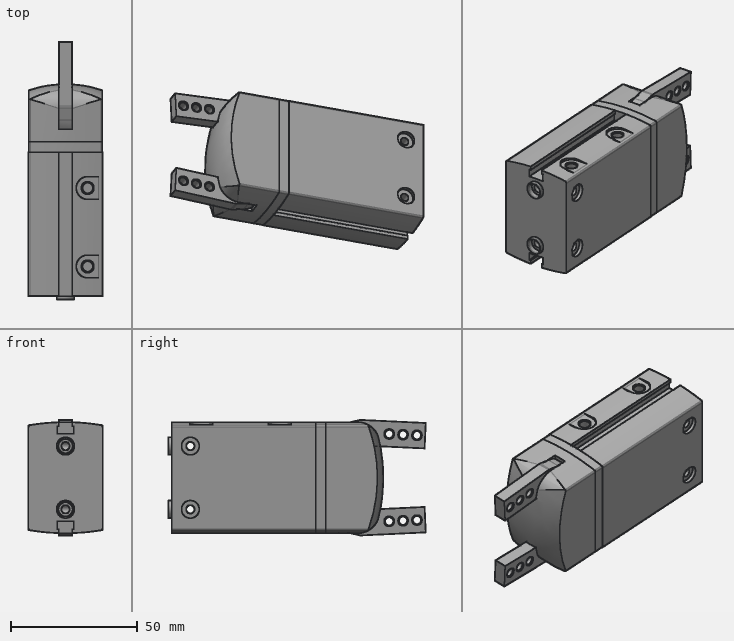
import cadquery as cq
import math


housing_width = 29.5
housing_height = 44.0
housing_length = 56.9
face_radius = 85.0
corner_fillet = 0.7

slot_mouth_width = 5.3
slot_inner_width = 6.6
slot_lip_z = 20.4
slot_floor_z = 17.3

mount_z = 12.5
sleeve_diameter = 7.0
sleeve_length = 1.4
sleeve_bore = 5.6
sleeve_lip_radius = 0.33
sleeve_bore_depth = 2.4
rear_thread_bore = 3.24
cross_hole_y = 7.4
cross_hole_diameter = 3.2
cross_recess_diameter = 7.0
cross_recess_depth = 1.6

port_x = 8.75
port_ys = (11.7, 42.7)
port_bore = 4.13
port_countersink = 5.0
port_depth = 8.0
pad_radius = 4.5
pad_z = 21.0

head_inset = 0.2
head_width = housing_width - 2 * head_inset
head_height = housing_height
plate_length = 4.0
head_base_y = housing_length + plate_length
head_apex_y = 83.8
crown_radius_across = 44.0
crown_radius_upright = 64.0
shoulder_radius = 8.8

finger_width = slot_mouth_width
finger_tip_y = 100.48
finger_tip_z = 21.66
finger_height = 10.15
finger_tilt = 2.7
crest_distance = 25.4
crest_length = 0.6
ramp_angle = 13.0
ramp_end_y = 69.7
heel_radius = 14.0
finger_rear_y = 66.0
finger_hole_bore = 3.24
finger_hole_countersink = 4.0
finger_hole_first = 3.3
finger_hole_pitch = 5.5
finger_hole_count = 3


def bulged_prism(width, height, start_y, length):
    """Rounded-corner prism along +Y with bulged upper and lower faces."""
    half_width = width / 2
    crest_z = height / 2
    sagitta = face_radius - math.sqrt(face_radius**2 - half_width**2)
    edge_z = crest_z - sagitta
    prism = (
        cq.Workplane("XZ", origin=(0, start_y, 0))
        .moveTo(-half_width, -edge_z)
        .lineTo(-half_width, edge_z)
        .threePointArc((0, crest_z), (half_width, edge_z))
        .lineTo(half_width, -edge_z)
        .threePointArc((0, -crest_z), (-half_width, -edge_z))
        .close()
        .extrude(-length)
    )
    return prism.edges("|Y").fillet(corner_fillet)


def cylinder(start, direction, diameter, length):
    """Solid cylinder from a start point along a direction."""
    return cq.Workplane(
        cq.Solid.makeCylinder(diameter / 2, length, cq.Vector(*start), cq.Vector(*direction))
    )


def countersink(start, direction, outer_diameter, inner_diameter):
    """45 degree cone that narrows from the outer to the inner diameter."""
    depth = (outer_diameter - inner_diameter) / 2
    return cq.Workplane(
        cq.Solid.makeCone(
            outer_diameter / 2, inner_diameter / 2, depth, cq.Vector(*start), cq.Vector(*direction)
        )
    )



def t_slot(side):
    """T-slot cutter over the full housing length; side is +1 for upper, -1 for lower."""
    lip_height = housing_height / 2 - slot_lip_z
    inner_height = slot_lip_z - slot_floor_z
    mouth = cq.Workplane("XY").box(
        slot_mouth_width, housing_length, 2 * lip_height, centered=(True, False, True)
    ).translate((0, 0, side * housing_height / 2))
    inner = cq.Workplane("XY").box(
        slot_inner_width, housing_length, inner_height, centered=(True, False, True)
    ).translate((0, 0, side * (slot_lip_z + slot_floor_z) / 2))
    return mouth.union(inner)


def port_cutter(port_y):
    """Flat U-shaped pad open towards +X, with a countersunk blind port."""
    pad_reach = housing_width / 2 - port_x
    pad_height = housing_height / 2 - pad_z
    pad = (
        cq.Workplane("XY", origin=(port_x, port_y, pad_z))
        .moveTo(pad_reach, pad_radius)
        .lineTo(0, pad_radius)
        .threePointArc((-pad_radius, 0), (0, -pad_radius))
        .lineTo(pad_reach, -pad_radius)
        .close()
        .extrude(pad_height)
    )
    centre = (port_x, port_y, pad_z)
    bore = cylinder(centre, (0, 0, -1), port_bore, port_depth)
    return pad.union(bore).union(countersink(centre, (0, 0, -1), port_countersink, port_bore))


def build_housing():
    body = bulged_prism(housing_width, housing_height, 0, housing_length)
    for side in (1, -1):
        mount_height = side * mount_z
        sleeve_end = (0, -sleeve_length, mount_height)
        sleeve = cylinder((0, 0, mount_height), (0, -1, 0), sleeve_diameter, sleeve_length)
        sleeve = sleeve.cut(cylinder(sleeve_end, (0, 1, 0), sleeve_bore, sleeve_length))
        body = body.union(sleeve.faces("<Y").edges().fillet(sleeve_lip_radius))
        body = body.cut(cylinder(sleeve_end, (0, 1, 0), sleeve_bore, sleeve_bore_depth))
        body = body.cut(
            cylinder(sleeve_end, (0, 1, 0), rear_thread_bore, sleeve_length + cross_hole_y)
        )

        side_point = (-housing_width / 2, cross_hole_y, mount_height)
        body = body.cut(cylinder(side_point, (1, 0, 0), cross_hole_diameter, housing_width))
        for side_x in (-1, 1):
            recess_start = (side_x * housing_width / 2, cross_hole_y, mount_height)
            body = body.cut(
                cylinder(recess_start, (-side_x, 0, 0), cross_recess_diameter, cross_recess_depth)
            )
        body = body.cut(t_slot(side))
    for port_y in port_ys:
        body = body.cut(port_cutter(port_y))
    return body



tilt = math.radians(finger_tilt)


def finger_point(distance, depth):
    """(y, z) at a distance behind the tip and a depth below the outer edge of the upper finger."""
    y = finger_tip_y - distance * math.cos(tilt) - depth * math.sin(tilt)
    z = finger_tip_z + distance * math.sin(tilt) - depth * math.cos(tilt)
    return y, z


def finger_inner_edge():
    """Tip and rear end of the inner edge, each as (y, z); it also lies on the floor of the head slot."""
    tip_y, tip_z = finger_point(0, finger_height)
    rear_z = tip_z + (tip_y - finger_rear_y) * math.tan(tilt)
    return (tip_y, tip_z), (finger_rear_y, rear_z)


def build_upper_finger():
    crest_y, crest_z = finger_point(crest_distance, 0)
    ramp_start_y = crest_y - crest_length
    ramp = math.radians(ramp_angle)
    ramp_end_z = crest_z - (ramp_start_y - ramp_end_y) * math.tan(ramp)

    heel_y = ramp_end_y + heel_radius * math.sin(ramp)
    heel_z = ramp_end_z - heel_radius * math.cos(ramp)
    heel_end = math.asin((heel_y - finger_rear_y) / heel_radius)
    heel_middle = (ramp + heel_end) / 2

    def heel_point(angle):
        return heel_y - heel_radius * math.sin(angle), heel_z + heel_radius * math.cos(angle)

    inner_tip, inner_rear = finger_inner_edge()
    finger = (
        cq.Workplane("YZ")
        .moveTo(*inner_tip)
        .lineTo(finger_tip_y, finger_tip_z)
        .lineTo(crest_y, crest_z)
        .lineTo(ramp_start_y, crest_z)
        .lineTo(ramp_end_y, ramp_end_z)
        .threePointArc(heel_point(heel_middle), heel_point(heel_end))
        .lineTo(*inner_rear)
        .close()
        .extrude(finger_width / 2, both=True)
    )
    for index in range(finger_hole_count):
        hole = finger_point(finger_hole_first + index * finger_hole_pitch, finger_height / 2)
        finger = finger.cut(
            cylinder((-finger_width / 2, *hole), (1, 0, 0), finger_hole_bore, finger_width)
        )
        for side_x in (-1, 1):
            rim = (side_x * finger_width / 2, *hole)
            finger = finger.cut(
                countersink(rim, (-side_x, 0, 0), finger_hole_countersink, finger_hole_bore)
            )
    return finger



def crown():
    """Solid of revolution whose front is curved both along X and along Z."""
    half_height = head_height / 2
    drop = crown_radius_upright - math.sqrt(crown_radius_upright**2 - half_height**2)
    rim = crown_radius_across - drop
    return (
        cq.Workplane("YZ", origin=(0, head_apex_y - crown_radius_across, 0))
        .moveTo(0, -half_height)
        .lineTo(rim, -half_height)
        .threePointArc((crown_radius_across, 0), (rim, half_height))
        .lineTo(0, half_height)
        .close()
        .revolve(360, (0, 0, 0), (0, 1, 0))
    )


def shoulder_prism():
    """Prism along X whose rounded shoulders run tangentially into the crown on the middle plane."""
    half_height = head_height / 2
    centre_z = half_height - shoulder_radius
    crown_centre_y = head_apex_y - crown_radius_upright
    centre_y = crown_centre_y + math.sqrt((crown_radius_upright - shoulder_radius)**2 - centre_z**2)
    end_angle = math.atan2(centre_z, centre_y - crown_centre_y)
    middle_angle = (end_angle + math.pi / 2) / 2

    def shoulder_point(angle, side):
        y = centre_y + shoulder_radius * math.cos(angle)
        z = centre_z + shoulder_radius * math.sin(angle)
        return y, side * z

    end_y, end_z = shoulder_point(end_angle, 1)
    peak_y = end_y + end_z * math.tan(end_angle)
    return (
        cq.Workplane("YZ")
        .moveTo(head_base_y, -half_height)
        .lineTo(centre_y, -half_height)
        .threePointArc(shoulder_point(middle_angle, -1), shoulder_point(end_angle, -1))
        .lineTo(peak_y, 0)
        .lineTo(end_y, end_z)
        .threePointArc(shoulder_point(middle_angle, 1), (centre_y, half_height))
        .lineTo(head_base_y, half_height)
        .close()
        .extrude(head_width / 2, both=True)
    )


def finger_slot():
    """Slot cutter for the upper finger, open to the front and to the top."""
    inner_tip, inner_rear = finger_inner_edge()
    return (
        cq.Workplane("YZ")
        .moveTo(*inner_rear)
        .lineTo(*inner_tip)
        .lineTo(inner_tip[0], head_height / 2)
        .lineTo(finger_rear_y, head_height / 2)
        .close()
        .extrude(finger_width / 2, both=True)
    )


def build_head():
    body = bulged_prism(head_width, head_height, head_base_y, finger_tip_y - head_base_y)
    body = body.intersect(shoulder_prism()).intersect(crown())
    upper_slot = finger_slot()
    return body.cut(upper_slot).cut(upper_slot.mirror("XY"))


housing = build_housing()
plate = bulged_prism(head_width, head_height, housing_length, plate_length)
head = build_head()
upper_finger = build_upper_finger()
fingers = [upper_finger, upper_finger.mirror("XY")]

result = cq.Compound.makeCompound(
    [housing.val(), plate.val(), head.val()] + [finger.val() for finger in fingers]
)